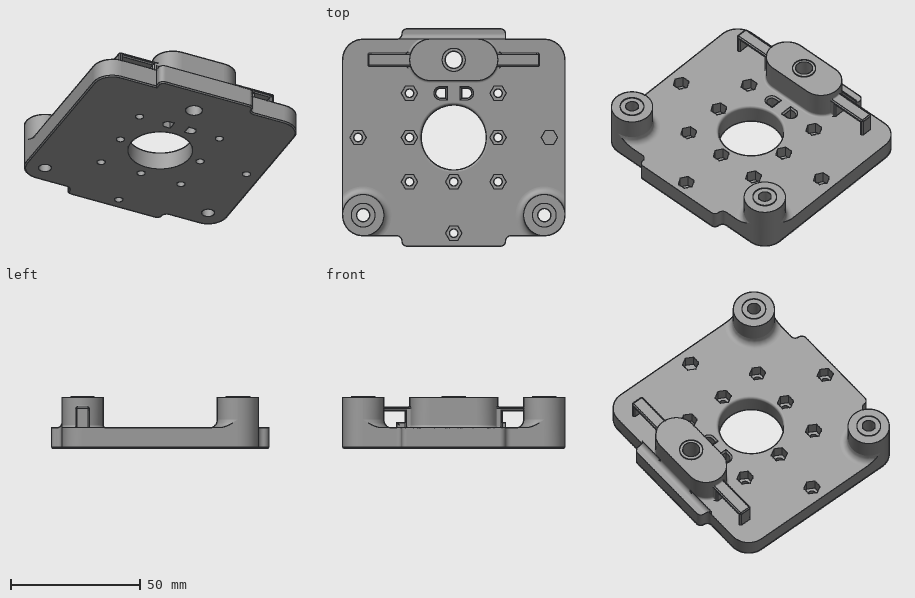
import cadquery as cq
PLATE_LENGTH = 86.0
PLATE_WIDTH = 76.0
PLATE_HEIGHT = 8.0
CORNER_RADIUS = 8.0
BOTTOM_CHAMFER = 0.5
BACK_Y = PLATE_WIDTH / 2

OVERALL_WIDTH = 84.1
TAB_HALF_LENGTH = 20.0
TAB_RADIUS = (OVERALL_WIDTH - PLATE_WIDTH) / 4
TAB_ROOT_Y = BACK_Y - CORNER_RADIUS

TOTAL_HEIGHT = 20.0
PAD_HEIGHT = 0.35
ROUND_PAD_DIAMETER = 9.2
OBLONG_PAD_DIAMETER = 8.95
BOSS_TOP = TOTAL_HEIGHT - PAD_HEIGHT
BOSS_X = PLATE_LENGTH / 2 - CORNER_RADIUS
BOSS_Y = BACK_Y - CORNER_RADIUS
BOSS_WIDTH = 2 * CORNER_RADIUS
ROUND_BOSS_BLEND = 3.0
ROUND_BOSS_HOLE = 5.0
OBLONG_BOSS_LENGTH = 34.05
OBLONG_BOSS_BLEND = 1.0
OBLONG_BOSS_HOLE = 6.5

BRIDGE_REACH = 33.2
BRIDGE_WIDTH = 5.2
BRIDGE_TOP = 16.0
BRIDGE_THICKNESS = 1.55
BRIDGE_CHAMFER = 0.5
BRIDGE_BLEND = 0.5
WINDOW_START_X = 18.75
WINDOW_END_X = BRIDGE_REACH - BRIDGE_THICKNESS
WINDOW_TOP = BRIDGE_TOP - BRIDGE_THICKNESS

BORE_DIAMETER = 25.0
BORE_ROUNDING = 1.0

NUT_FLATS = 5.5
NUT_CORNERS = NUT_FLATS / (3**0.5 / 2)
NUT_DEPTH = 5.0
SCREW_DIAMETER = 3.2
INNER_PITCH = 17.1
OUTER_PITCH = 37.0
BLIND_POCKET = (OUTER_PITCH, 0)
THROUGH_POCKETS = [
    (-INNER_PITCH, INNER_PITCH),
    (INNER_PITCH, INNER_PITCH),
    (-INNER_PITCH, 0),
    (INNER_PITCH, 0),
    (-INNER_PITCH, -INNER_PITCH),
    (0, -INNER_PITCH),
    (INNER_PITCH, -INNER_PITCH),
    (-OUTER_PITCH, 0),
    (0, -OUTER_PITCH),
]

D_RADIUS = 1.9
D_CENTER_X = 5.1
D_FLAT_X = 3.1
D_CHAMFER = 0.7

RIM_LAYER = 0.1
RIM_MARGIN = 0.9


def plate_prism(height):
    """Rounded rectangle of the plate, without its tabs."""
    prism = cq.Workplane("XY").rect(PLATE_LENGTH, PLATE_WIDTH).extrude(height)
    return prism.edges("|Z").fillet(CORNER_RADIUS)


def tab_side(height, flared):
    """Right half of the back tab; a flared side runs into the plate with a concave round."""
    middle_y = BACK_Y + TAB_RADIUS
    tip_y = BACK_Y + 2 * TAB_RADIUS
    side = cq.Workplane("XY").moveTo(0, TAB_ROOT_Y)
    if flared:
        flare_x = TAB_HALF_LENGTH + TAB_RADIUS
        side = side.lineTo(flare_x, TAB_ROOT_Y).lineTo(flare_x, BACK_Y)
        side = side.radiusArc((TAB_HALF_LENGTH, middle_y), TAB_RADIUS)
    else:
        side = side.lineTo(TAB_HALF_LENGTH, TAB_ROOT_Y).lineTo(TAB_HALF_LENGTH, middle_y)
    side = side.radiusArc((TAB_HALF_LENGTH - TAB_RADIUS, tip_y), -TAB_RADIUS)
    return side.lineTo(0, tip_y).close().extrude(height)


def back_tab(height):
    """Back tab, flared on its left side only."""
    return tab_side(height, False).union(tab_side(height, True).mirror("YZ"))


def front_tab(height):
    """Front tab, flared on both sides."""
    right = tab_side(height, True).mirror("XZ")
    return right.union(right.mirror("YZ"))


def back_tab_cove():
    """Concave strip rising from the back tab against the plate's back edge."""
    strip = (
        cq.Workplane("YZ")
        .moveTo(BACK_Y, PLATE_HEIGHT)
        .lineTo(BACK_Y + TAB_RADIUS, PLATE_HEIGHT)
        .radiusArc((BACK_Y, PLATE_HEIGHT + TAB_RADIUS), TAB_RADIUS)
        .close()
        .extrude(TAB_HALF_LENGTH + TAB_RADIUS, both=True)
    )
    return strip.intersect(back_tab(PLATE_HEIGHT + TAB_RADIUS))


def rim_zone(x, y, half_length, half_width):
    """Selects edges in a thin layer at the plate's top."""
    reach_x = half_length + RIM_MARGIN
    reach_y = half_width + RIM_MARGIN
    return cq.selectors.BoxSelector(
        (x - reach_x, y - reach_y, PLATE_HEIGHT - RIM_LAYER),
        (x + reach_x, y + reach_y, PLATE_HEIGHT + RIM_LAYER),
    )


def round_boss_core(side):
    """Round boss with a concave foot, squared off outwards past the plate's corner."""
    radius = BOSS_WIDTH / 2
    foot_radius = radius + ROUND_BOSS_BLEND
    profile = (
        cq.Workplane("XZ")
        .lineTo(foot_radius, 0)
        .lineTo(foot_radius, PLATE_HEIGHT)
        .radiusArc((radius, PLATE_HEIGHT + ROUND_BOSS_BLEND), ROUND_BOSS_BLEND)
        .lineTo(radius, BOSS_TOP)
        .lineTo(0, BOSS_TOP)
        .close()
    )
    core = profile.revolve(360, (0, 0), (0, 1))
    corner = cq.Workplane("XY").rect(side * foot_radius, -foot_radius, centered=False).extrude(BOSS_TOP)
    return core.union(corner).translate((side * BOSS_X, -BOSS_Y, 0))


def bridges():
    """Chamfered bar across the oblong boss, with a window under each arm."""
    bar = cq.Workplane("XY").center(0, BOSS_Y).rect(2 * BRIDGE_REACH, BRIDGE_WIDTH).extrude(BRIDGE_TOP)
    window_length = WINDOW_END_X - WINDOW_START_X
    for side in (-1, 1):
        window = cq.Workplane("XY").box(
            window_length, 2 * BRIDGE_WIDTH, WINDOW_TOP, centered=(True, True, False)
        )
        bar = bar.cut(window.translate((side * (WINDOW_START_X + window_length / 2), BOSS_Y, 0)))
    return bar.faces(">Y or <Y or >Z").edges().chamfer(BRIDGE_CHAMFER)


def bridge_joint(side):
    """Selects the edges where a bridge meets the end of the oblong boss and its foot."""
    boss_end = OBLONG_BOSS_LENGTH / 2
    near, far = sorted((side * (boss_end - BRIDGE_THICKNESS), side * (boss_end + OBLONG_BOSS_BLEND)))
    return cq.selectors.BoxSelector(
        (near, BOSS_Y - BRIDGE_WIDTH, PLATE_HEIGHT + RIM_LAYER),
        (far, BOSS_Y + BRIDGE_WIDTH, BRIDGE_TOP + RIM_LAYER),
    )


def oblong_boss_core():
    """Oblong boss and bridges on a wide slab, with concave blends where they meet."""
    slab_size = 2 * PLATE_LENGTH
    slab = cq.Workplane("XY").rect(slab_size, slab_size).extrude(PLATE_HEIGHT)
    boss = cq.Workplane("XY").center(0, BOSS_Y).slot2D(OBLONG_BOSS_LENGTH, BOSS_WIDTH).extrude(BOSS_TOP)
    foot = rim_zone(0, BOSS_Y, OBLONG_BOSS_LENGTH / 2, BOSS_WIDTH / 2)
    core = slab.union(boss).edges(foot).fillet(OBLONG_BOSS_BLEND).union(bridges())
    for side in (-1, 1):
        core = core.edges(bridge_joint(side)).fillet(BRIDGE_BLEND)
    return core


def plate_with_bosses():
    """Tall plate block, milled down around the bosses."""
    waste = cq.Workplane("XY").rect(2 * PLATE_LENGTH, 2 * PLATE_LENGTH).extrude(TOTAL_HEIGHT)
    waste = waste.cut(oblong_boss_core())
    for side in (-1, 1):
        waste = waste.cut(round_boss_core(side))
    return plate_prism(BOSS_TOP).cut(waste)


def boss_pad(x, y, diameter):
    """Round post inside a boss that stands slightly proud of its top."""
    return cq.Workplane("XY").center(x, y).circle(diameter / 2).extrude(TOTAL_HEIGHT)


def hole(x, y, diameter):
    """Cutter for a round hole through the full height."""
    return cq.Workplane("XY").center(x, y).circle(diameter / 2).extrude(TOTAL_HEIGHT)


def nut_pocket(x, y):
    """Cutter for a hexagonal pocket sunk into the plate's top."""
    floor = cq.Workplane("XY").workplane(offset=PLATE_HEIGHT - NUT_DEPTH)
    return floor.center(x, y).polygon(6, NUT_CORNERS).extrude(NUT_DEPTH)


def d_opening():
    """D-shaped through opening on the right, flat towards the middle."""
    outline = (
        cq.Workplane("XY")
        .moveTo(D_FLAT_X, INNER_PITCH - D_RADIUS)
        .lineTo(D_CENTER_X, INNER_PITCH - D_RADIUS)
        .radiusArc((D_CENTER_X, INNER_PITCH + D_RADIUS), -D_RADIUS)
        .lineTo(D_FLAT_X, INNER_PITCH + D_RADIUS)
        .close()
    )
    return outline.extrude(PLATE_HEIGHT)


result = plate_with_bosses()
result = result.union(front_tab(PLATE_HEIGHT))
result = result.union(back_tab(PLATE_HEIGHT))
result = result.faces("<Z").edges().chamfer(BOTTOM_CHAMFER)
result = result.union(back_tab_cove())

boss_places = [
    (-BOSS_X, -BOSS_Y, ROUND_PAD_DIAMETER, ROUND_BOSS_HOLE),
    (BOSS_X, -BOSS_Y, ROUND_PAD_DIAMETER, ROUND_BOSS_HOLE),
    (0, BOSS_Y, OBLONG_PAD_DIAMETER, OBLONG_BOSS_HOLE),
]
for x, y, pad_diameter, hole_diameter in boss_places:
    result = result.union(boss_pad(x, y, pad_diameter)).cut(hole(x, y, hole_diameter))
result = result.clean()

result = result.cut(hole(0, 0, BORE_DIAMETER))
bore_zone = rim_zone(0, 0, BORE_DIAMETER / 2, BORE_DIAMETER / 2)
result = result.edges(bore_zone).fillet(BORE_ROUNDING)

for opening in (d_opening(), d_opening().mirror("YZ")):
    result = result.cut(opening)
d_zone = rim_zone(0, INNER_PITCH, D_CENTER_X + D_RADIUS, D_RADIUS)
result = result.edges(d_zone).chamfer(D_CHAMFER)

result = result.cut(nut_pocket(*BLIND_POCKET))
for x, y in THROUGH_POCKETS:
    result = result.cut(nut_pocket(x, y)).cut(hole(x, y, SCREW_DIAMETER))